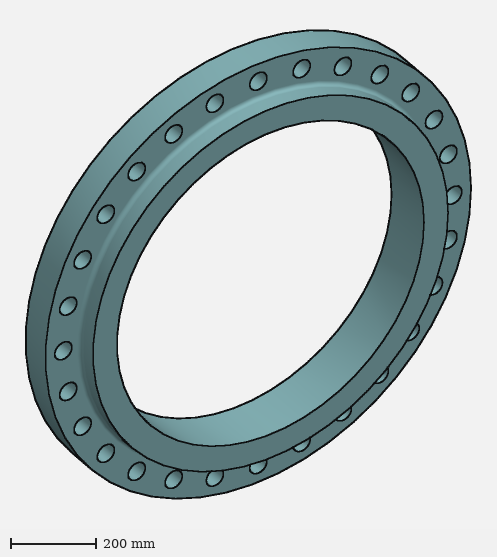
import cadquery as cq

outer_diameter = 1206.0
bore_diameter = 870.0
hub_diameter = 1006.0
total_length = 135.0
raised_face_diameter = 1052.0
raised_face_height = 1.0
flange_back = 85.0
hub_fillet_radius = 11.0

bolt_count = 28
bolt_circle_diameter = 1105.0
bolt_hole_diameter = 48.0

flange = (
    cq.Workplane("YZ", origin=(raised_face_height, 0, 0))
    .circle(outer_diameter / 2)
    .extrude(flange_back - raised_face_height)
)
raised_face = cq.Workplane("YZ").circle(raised_face_diameter / 2).extrude(flange_back)
hub = cq.Workplane("YZ").circle(hub_diameter / 2).extrude(total_length)
body = flange.union(raised_face).union(hub)

corner_reach = hub_diameter / 2 + hub_fillet_radius / 2
corner_edge = cq.selectors.BoxSelector(
    (flange_back - hub_fillet_radius / 2, -corner_reach, -corner_reach),
    (flange_back + hub_fillet_radius / 2, corner_reach, corner_reach),
    boundingbox=True,
)
body = body.edges(corner_edge).fillet(hub_fillet_radius)

bore = cq.Workplane("YZ").circle(bore_diameter / 2).extrude(total_length)

bolt_holes = (
    cq.Workplane("YZ")
    .polarArray(bolt_circle_diameter / 2, 0, 360, bolt_count)
    .circle(bolt_hole_diameter / 2)
    .extrude(flange_back)
)

result = body.cut(bore).cut(bolt_holes)